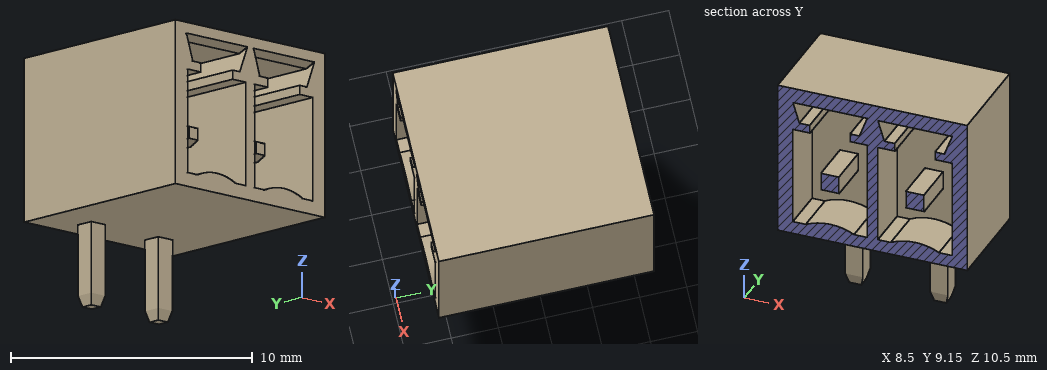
import cadquery as cq


body_width = 8.5
body_depth = 9.15
body_height = 6.99
total_height = 10.5
way_count = 2
pitch = 3.81

cavity_depth = 6.62
cavity_half_width = 1.66
floor_z = 0.59
hump_half_width = 1.08
hump_crest_z = 0.84
ledge_bottom_z = 5.0
ledge_top_z = 5.39
ledge_tip_offset = 0.9
key_foot_left = 1.36
key_foot_right = 1.31
key_top_left = 1.72
key_top_right = 1.74
lip_front_z = 6.52
lip_drop = 0.23
lip_depth = 0.4

pin_size = 0.81
contact_z = 2.79
contact_front_y = 1.41
contact_tip_size = 0.5
contact_taper_length = 0.6
tail_setback = 1.6
tail_center_y = body_depth - tail_setback
tail_tip_size = 0.55
tail_taper_length = 0.47

way_centers = [(way - (way_count - 1) / 2) * pitch for way in range(way_count)]


def make_cavity(center_x):
    """Cavity with a humped floor, two side ledges, a flared key slot and a bevelled lip at the ceiling."""
    cavity = (
        cq.Workplane("XZ", origin=(center_x, 0, 0))
        .moveTo(-cavity_half_width, floor_z)
        .lineTo(-hump_half_width, floor_z)
        .threePointArc((0, hump_crest_z), (hump_half_width, floor_z))
        .lineTo(cavity_half_width, floor_z)
        .lineTo(cavity_half_width, ledge_bottom_z)
        .lineTo(ledge_tip_offset, ledge_bottom_z)
        .lineTo(ledge_tip_offset, ledge_top_z)
        .lineTo(key_foot_right, ledge_top_z)
        .lineTo(key_top_right, lip_front_z)
        .lineTo(-key_top_left, lip_front_z)
        .lineTo(-key_foot_left, ledge_top_z)
        .lineTo(-ledge_tip_offset, ledge_top_z)
        .lineTo(-ledge_tip_offset, ledge_bottom_z)
        .lineTo(-cavity_half_width, ledge_bottom_z)
        .close()
        .extrude(-cavity_depth)
    )
    ceiling_fill = (
        cq.Workplane("YZ", origin=(center_x, 0, 0))
        .moveTo(0, lip_front_z)
        .lineTo(lip_depth, lip_front_z - lip_drop)
        .lineTo(cavity_depth, lip_front_z - lip_drop)
        .lineTo(cavity_depth, lip_front_z)
        .close()
        .extrude(pitch / 2, both=True)
    )
    return cavity.cut(ceiling_fill)


def make_pointed_bar(base, shaft_length, tip_size, taper_length):
    """Square bar along the normal of the base plane, narrowing to a smaller square tip."""
    shaft = cq.Workplane(base).rect(pin_size, pin_size).extrude(shaft_length)
    taper = (
        shaft.faces(cq.selectors.DirectionMinMaxSelector(base.zDir, directionMax=True))
        .workplane()
        .rect(pin_size, pin_size)
        .workplane(offset=taper_length)
        .rect(tip_size, tip_size)
        .loft(combine=False)
    )
    return shaft.union(taper)


def make_pin(center_x):
    """Bent pin: a contact pointing forward in the cavity and a tail pointing down."""
    contact_back_y = tail_center_y + pin_size / 2
    contact_base = cq.Plane((center_x, contact_back_y, contact_z), xDir=(1, 0, 0), normal=(0, -1, 0))
    contact_shaft_length = contact_back_y - contact_front_y - contact_taper_length
    contact = make_pointed_bar(contact_base, contact_shaft_length, contact_tip_size, contact_taper_length)

    tail_end_z = body_height - total_height
    tail_base = cq.Plane((center_x, tail_center_y, contact_z), xDir=(1, 0, 0), normal=(0, 0, -1))
    tail_shaft_length = contact_z - tail_end_z - tail_taper_length
    tail = make_pointed_bar(tail_base, tail_shaft_length, tail_tip_size, tail_taper_length)
    return contact.union(tail)


housing_centering = (True, False, False)
result = cq.Workplane("XY").box(body_width, body_depth, body_height, centered=housing_centering)
for center_x in way_centers:
    result = result.cut(make_cavity(center_x)).union(make_pin(center_x))